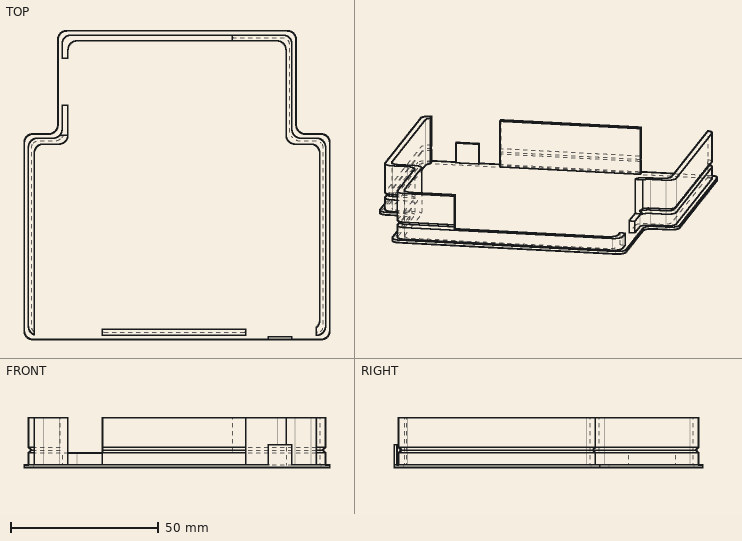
import cadquery as cq

tray_width = 104.0
tray_length = 105.0
tray_height = 17.0
neck_width = 81.1
shoulder_y = 17.4
corner_radius = 3.0
plate_thickness = 0.9

ledge = 1.5
wall_thickness = 2.0
low_wall_top = 5.0
groove_depth = 0.9

tall_left_end_y = 17.0
tall_rear_start_x = 18.8
side_gap_start_y = 27.1
side_gap_end_y = 43.2
front_bar_left_x = -25.4
front_bar_right_x = 23.3
front_right_end_x = 47.4

tab_left_x = 31.1
tab_right_x = 39.1
tab_thickness = 1.0
tab_top = 7.9

rear_y = tray_length / 2
front_y = -rear_y
inner_inset = ledge + wall_thickness
inner_wide_x = tray_width / 2 - inner_inset
inner_neck_x = neck_width / 2 - inner_inset
inner_front_y = front_y + inner_inset
groove_top_z = low_wall_top + 2 * groove_depth


def box(x_min, x_max, y_min, y_max, z_min, z_max):
    """Axis-aligned block between two opposite corners."""
    size = (x_max - x_min, y_max - y_min, z_max - z_min)
    return cq.Workplane("XY").box(*size, centered=False).translate((x_min, y_min, z_min))


def shouldered_outline(inset, z):
    """Tray outline moved inward by inset, with equal radii at all eight corners."""
    wide_x = tray_width / 2 - inset
    neck_x = neck_width / 2 - inset
    step_y = shoulder_y - inset
    sharp = cq.Workplane("XY").polyline([
        (-wide_x, front_y + inset),
        (wide_x, front_y + inset),
        (wide_x, step_y),
        (neck_x, step_y),
        (neck_x, rear_y - inset),
        (-neck_x, rear_y - inset),
        (-neck_x, step_y),
        (-wide_x, step_y),
    ]).close().wire().val()
    rounded = sharp.fillet2D(corner_radius, sharp.Vertices())
    return cq.Workplane("XY", origin=(0, 0, z)).add(rounded.translate(cq.Vector(0, 0, z))).toPending()


def prism(inset, z_min, z_max):
    """Straight block with the tray outline."""
    return shouldered_outline(inset, z_min).extrude(z_max - z_min)


def grooved_wall():
    """Full closed wall ring with a V-groove around its outer face."""
    flank_angle = 45
    wall = prism(ledge, 0, low_wall_top)
    wall = wall.union(shouldered_outline(ledge, low_wall_top).extrude(groove_depth, taper=flank_angle))
    wall = wall.union(shouldered_outline(ledge, groove_top_z).extrude(-groove_depth, taper=flank_angle))
    wall = wall.union(prism(ledge, groove_top_z, tray_height))
    return wall.cut(prism(inner_inset, 0, tray_height))


def lowered_region():
    """Space above the low wall, around the rear left of the neck."""
    return box(-neck_width / 2, tall_rear_start_x, tall_left_end_y, rear_y, low_wall_top, tray_height)


def wall_gaps():
    """Openings through the full wall height: left of the neck and beside the front bar."""
    gaps = box(-neck_width / 2, -inner_neck_x, side_gap_start_y, side_gap_end_y, 0, tray_height)
    gap_rear_y = inner_front_y + corner_radius
    for left_x, right_x in [(-inner_wide_x, front_bar_left_x), (front_bar_right_x, front_right_end_x)]:
        gaps = gaps.union(box(left_x, right_x, front_y, gap_rear_y, 0, tray_height))
    return gaps


plate = prism(0, 0, plate_thickness)
wall = grooved_wall().cut(lowered_region()).cut(wall_gaps())
tab = box(tab_left_x, tab_right_x, front_y, front_y + tab_thickness, 0, tab_top)

result = plate.union(wall).union(tab)